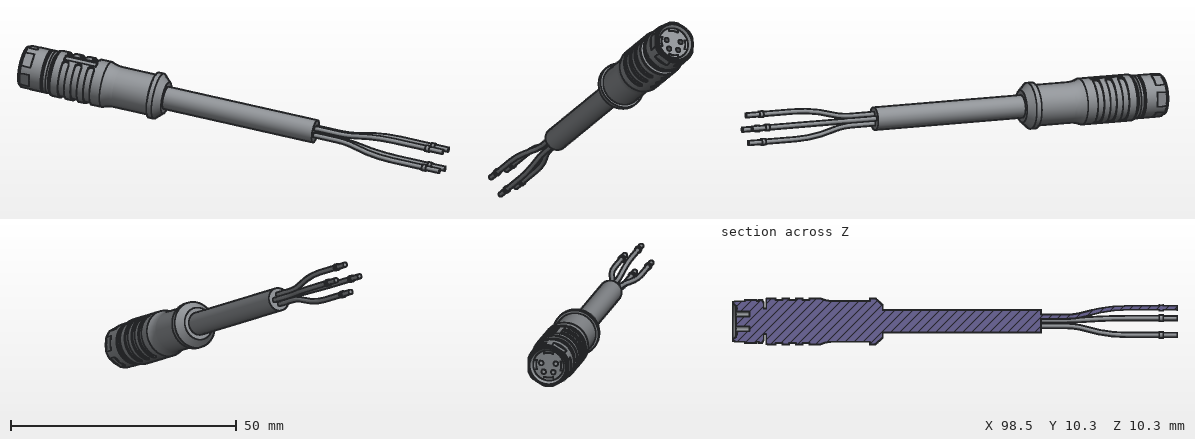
import cadquery as cq
import math

TOTAL_LENGTH = 98.5
NUT_END = 6.9
BODY_START = 7.45
BODY_END = 33.3
CABLE_END = 68.3

NUT_DIA = 9.6
NUT_FACE_DIA = 8.8
NUT_RING_END = 0.45
NUT_LEAD_DIA = 9.5
NUT_LEAD_END = 1.5
NUT_REAR_DIA = 8.3
NUT_REAR_CHAMFER = 0.35
NUT_GROOVE_DIA = 9.1
NUT_GROOVE_START = 5.4
NUT_GROOVE_WIDTH = 0.4
FLAT_COUNT = 6
FLAT_DISTANCE = 4.51
FLAT_END = 2.7
NECK_DIA = 5.72

MOUTH_DIA = 8.2
BORE_DIA = 6.95
BORE_DEPTH = 2.5
INSERT_DIA = 6.9
INSERT_FACE = 0.7
INSERT_CORE_DIA = 5.65
KEYWAY_WIDTH = 2.1
KEYWAY_DEPTH = 0.3
CONTACT_DIA = 1.05
CONTACT_DEPTH = 3.0
UPPER_CONTACT_Y, UPPER_CONTACT_Z = 1.65, 0.47
LOWER_CONTACT_Y, LOWER_CONTACT_Z = 1.08, -1.5

GRIP_DIA = 10.3
GRIP_CHAMFER_LENGTH = 0.3
GRIP_CHAMFER_HEIGHT = 0.1
GRIP_END = 19.4
BARREL_DIA = 9.1
BARREL_START = 22.1
FLANGE_START = 30.4
FLANGE_CONE_START = 31.6
BODY_END_DIA = 7.2

GROOVE_COUNT = 3
GROOVE_WIDTH = 1.5
GROOVE_PITCH = 2.97
GROOVE_FIRST_X = 10.3
GROOVE_FLOOR_DIA = 9.6
GROOVE_TIP_Y = 1.05
MARKER_WIDTH = 1.5
MARKER_DEPTH = (GRIP_DIA - GROOVE_FLOOR_DIA) / 2

CABLE_DIA = 5.1
WIRE_COUNT = 4
WIRE_DIA = 1.07
CONDUCTOR_DIA = 1.05
COLLAR_DIA = 1.4
WIRE_BEND_START = 73.9
WIRE_BEND_END = 87.25
WIRE_BEND_SPLIT = 1 / 3
COLLAR_START = 94.5
COLLAR_END = 95.4
BUNDLE_RADIUS = 1.05
SPREAD_RADIUS = 3.08
WIRE_TWIST = 13.5


def rod(diameter, x_start, x_end):
    """Cylinder on the X axis between two stations."""
    return cq.Workplane("YZ").workplane(offset=x_start).circle(diameter / 2).extrude(x_end - x_start)


def revolve_about_x(outline):
    """Solid of revolution of a profile drawn above the X axis."""
    return outline.close().revolve(360, (0, 0, 0), (1, 0, 0))


def arc_midpoint(start, end, flat_at_start):
    """Midpoint of an arc from start to end that is tangent to the X direction at one of its ends."""
    run = end[0] - start[0]
    rise = end[1] - start[1]
    radius = (run**2 + rise**2) / (2 * rise)
    half_angle = math.asin(run / radius) / 2
    run_to_mid = radius * math.sin(half_angle)
    rise_to_mid = radius * (1 - math.cos(half_angle))
    if flat_at_start:
        return (start[0] + run_to_mid, start[1] + rise_to_mid)
    return (end[0] - run_to_mid, end[1] - rise_to_mid)


def make_nut():
    """Coupling nut with the contact insert inside it, apart by a thin ring-shaped gap."""
    groove_end = NUT_GROOVE_START + NUT_GROOVE_WIDTH
    outline = (
        cq.Workplane("XY")
        .moveTo(INSERT_FACE, 0)
        .lineTo(INSERT_FACE, INSERT_DIA / 2)
        .lineTo(BORE_DEPTH, INSERT_DIA / 2)
        .lineTo(BORE_DEPTH, BORE_DIA / 2)
        .lineTo(INSERT_FACE, BORE_DIA / 2)
        .lineTo(0, MOUTH_DIA / 2)
        .lineTo(0, NUT_FACE_DIA / 2)
        .lineTo(NUT_RING_END, NUT_FACE_DIA / 2)
        .lineTo(NUT_RING_END, NUT_LEAD_DIA / 2)
        .lineTo(NUT_LEAD_END, NUT_DIA / 2)
        .lineTo(NUT_GROOVE_START, NUT_DIA / 2)
        .lineTo(NUT_GROOVE_START, NUT_GROOVE_DIA / 2)
        .lineTo(groove_end, NUT_GROOVE_DIA / 2)
        .lineTo(groove_end, NUT_DIA / 2)
        .lineTo(NUT_END - NUT_REAR_CHAMFER, NUT_DIA / 2)
        .lineTo(NUT_END, NUT_REAR_DIA / 2)
        .lineTo(NUT_END, 0)
    )
    nut = revolve_about_x(outline)
    for i in range(FLAT_COUNT):
        chip = cq.Workplane("XY").box(FLAT_END, NUT_DIA, NUT_DIA, centered=(False, False, True))
        chip = chip.translate((0, FLAT_DISTANCE, 0))
        nut = nut.cut(chip.rotate((0, 0, 0), (1, 0, 0), i * 360 / FLAT_COUNT))
    return nut


def make_keyways():
    """Four notches around the insert face, each deepening towards the core on a shallow cone."""
    outline = (
        cq.Workplane("XY")
        .moveTo(INSERT_FACE, INSERT_CORE_DIA / 2)
        .lineTo(INSERT_FACE + KEYWAY_DEPTH, INSERT_CORE_DIA / 2)
        .lineTo(INSERT_FACE, INSERT_DIA / 2)
    )
    ring = revolve_about_x(outline)
    bars = cq.Workplane("YZ").workplane(offset=INSERT_FACE)
    bars = bars.rect(KEYWAY_WIDTH, INSERT_DIA).extrude(KEYWAY_DEPTH)
    bars = bars.union(bars.rotate((0, 0, 0), (1, 0, 0), 90))
    return ring.intersect(bars)


def make_contact_holes():
    """Blind socket holes in the insert face, two above the axis and two closer together below."""
    centres = []
    for side in (-1, 1):
        centres.append((side * UPPER_CONTACT_Y, UPPER_CONTACT_Z))
        centres.append((side * LOWER_CONTACT_Y, LOWER_CONTACT_Z))
    face = cq.Workplane("YZ").workplane(offset=INSERT_FACE)
    return face.pushPoints(centres).circle(CONTACT_DIA / 2).extrude(CONTACT_DEPTH)


def make_body():
    """Grip, barrel and conical end flange as one turned shape."""
    shoulder_start = (GRIP_END, GRIP_DIA / 2)
    shoulder_end = (BARREL_START, BARREL_DIA / 2)
    shoulder_mid = arc_midpoint(shoulder_start, shoulder_end, False)
    outline = (
        cq.Workplane("XY")
        .moveTo(BODY_START, 0)
        .lineTo(BODY_START, GRIP_DIA / 2 - GRIP_CHAMFER_HEIGHT)
        .lineTo(BODY_START + GRIP_CHAMFER_LENGTH, GRIP_DIA / 2)
        .lineTo(*shoulder_start)
        .threePointArc(shoulder_mid, shoulder_end)
        .lineTo(FLANGE_START, BARREL_DIA / 2)
        .lineTo(FLANGE_START, GRIP_DIA / 2)
        .lineTo(FLANGE_CONE_START, GRIP_DIA / 2)
        .lineTo(BODY_END, BODY_END_DIA / 2)
        .lineTo(BODY_END, 0)
    )
    return revolve_about_x(outline)


def make_finger_grooves():
    """Shallow grooves wrapping both flanks, each tip round in plan (XY)."""
    slots = cq.Workplane("XY").workplane(offset=-GRIP_DIA)
    tip_centre = GROOVE_TIP_Y + GROOVE_WIDTH / 2
    slot_length = GRIP_DIA
    centres = []
    for i in range(GROOVE_COUNT):
        for side in (-1, 1):
            slot_y = side * (tip_centre + (slot_length - GROOVE_WIDTH) / 2)
            centres.append((GROOVE_FIRST_X + i * GROOVE_PITCH, slot_y))
    slots = slots.pushPoints(centres).slot2D(slot_length, GROOVE_WIDTH, 90).extrude(2 * GRIP_DIA)
    return slots.cut(rod(GROOVE_FLOOR_DIA, BODY_START, BODY_END))


def make_marker_recess():
    """Flat-bottomed rectangular recess along the top of the grip."""
    length = (GROOVE_COUNT - 1) * GROOVE_PITCH + GROOVE_WIDTH
    recess = cq.Workplane("XY").box(length, MARKER_WIDTH, GRIP_DIA, centered=(False, True, False))
    return recess.translate((GROOVE_FIRST_X - GROOVE_WIDTH / 2, 0, GRIP_DIA / 2 - MARKER_DEPTH))


def make_wire():
    """One wire in the XZ plane: straight, S-bend outward, straight, collar, bare end."""
    bend_start = (WIRE_BEND_START, BUNDLE_RADIUS)
    bend_end = (WIRE_BEND_END, SPREAD_RADIUS)
    inflection = (
        WIRE_BEND_START + WIRE_BEND_SPLIT * (WIRE_BEND_END - WIRE_BEND_START),
        BUNDLE_RADIUS + WIRE_BEND_SPLIT * (SPREAD_RADIUS - BUNDLE_RADIUS),
    )
    path = (
        cq.Workplane("XZ")
        .moveTo(CABLE_END, BUNDLE_RADIUS)
        .lineTo(*bend_start)
        .threePointArc(arc_midpoint(bend_start, inflection, True), inflection)
        .threePointArc(arc_midpoint(inflection, bend_end, False), bend_end)
        .lineTo(COLLAR_START, SPREAD_RADIUS)
    )
    section = cq.Workplane("YZ").workplane(offset=CABLE_END).center(0, BUNDLE_RADIUS)
    wire = section.circle(WIRE_DIA / 2).sweep(path)
    collar = rod(COLLAR_DIA, COLLAR_START, COLLAR_END)
    conductor = rod(CONDUCTOR_DIA, COLLAR_END, TOTAL_LENGTH)
    return wire.union(collar.union(conductor).translate((0, 0, SPREAD_RADIUS)))


result = make_nut().cut(make_keyways()).cut(make_contact_holes())
result = result.union(rod(NECK_DIA, NUT_END, BODY_START))
result = result.union(make_body().cut(make_finger_grooves()).cut(make_marker_recess()))
result = result.union(rod(CABLE_DIA, BODY_END, CABLE_END))
for wire_index in range(WIRE_COUNT):
    angle = WIRE_TWIST + wire_index * 360 / WIRE_COUNT
    result = result.union(make_wire().rotate((0, 0, 0), (1, 0, 0), angle))